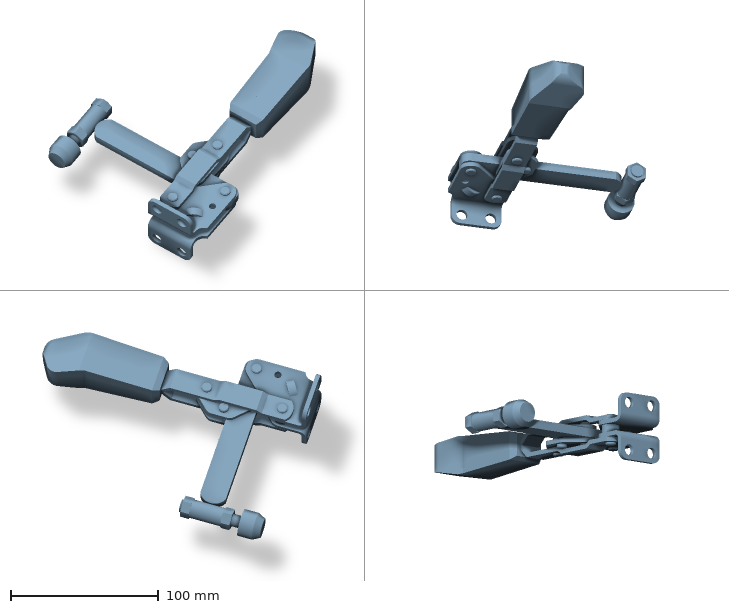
import cadquery as cq
import math


sheet = 3.0
arm_half = 3.0
plate_in = arm_half
plate_out = plate_in + sheet
pin_r = 3.5
pin_chamfer = 0.5
pin_head = 1.5

lever_pivot = (0, 19.0)
arm_pivot = (25.1, 45)
link_arm_pivot = (0, arm_pivot[1])
link_lever_pivot = (0, 72.5)
eye_r = 7.5

base_left = -7.5
base_right = arm_pivot[0] + eye_r
flange_right = 27.5
base_height = 46.0
flange_reach = base_height / 2
flange_corner_r = 6.0
bend_in_r = 2.6
bend_out_r = bend_in_r + sheet
mount_hole_d = 7.5
mount_hole_x = (0, 20.2)
mount_hole_z = 16.3
lock_hole_d = 4.9
lock_hole_y = 30
notch_r = 7.5
spacer_r = 6.0
bump_centre = (18.2, 18.2)
bump_length = 11.8
bump_width = 5.6
bump_height = 2.5
bump_angle = 30

arm_width = 18.0
arm_top = arm_pivot[1] + arm_width / 2
arm_bottom = arm_pivot[1] - arm_width / 2
arm_tip_length = 5.8
arm_corner_r = 6.0

spindle_x = -86.5
stud_r = 4.3
sleeve_r = 6.4
foot_r = 9.4
foot_end_r = 6.8
foot_y = 6.0
foot_cone_y = 11.0
foot_top_y = 21.2
lower_nut_y = 27.5
sleeve_y = 34.3
upper_nut_y = 56.5
upper_nut_top_y = 62.6
stud_top_y = 64.1
nut_corner_r = sleeve_r / math.cos(math.radians(30))
nut_chamfer = 0.8

link_left = -16.3
stop_pin_x = -10.1
stop_pin_r = 3.4
link_corner_r = 5.6

lever_width = 15.2
lever_end_y = 11.6
lever_end_sag = 3.2
leg_out = plate_out + sheet
joggle = 2.5
joggle_start_y = 31.3
joggle_end_y = 64.9
joggle_run = 3.8
leg_closing_y = 96.4

grip_y = 102.8
grip_top_y = 187.5
grip_bevel_y = 107.2
grip_end_half_x = 10.9
grip_bevel_half_x = 13.3
grip_end_half_z = 7.5
grip_bevel_half_z = 9.8
grip_ridge_y = 158.5
grip_ridge_half_z = 13.1
grip_crown_y = 181.7
grip_crown_half_z = 8.6
grip_tip_half_z = 3.4
grip_crown_mid = (185.8, 6.2)
seam_left_y = 150
seam_right_y = 111.0
grip_clear = 37.5

same_point = 1.88e-06


def rounded_outline(corners):
    """Closed outline through (x, y, radius) corners; radius 0 leaves a corner sharp."""
    path = last = None
    for i, (x, y, r) in enumerate(corners):
        if r == 0:
            start = end = middle = (x, y)
        else:
            rays = []
            for nx, ny, _ in (corners[i - 1], corners[(i + 1) % len(corners)]):
                length = math.hypot(nx - x, ny - y)
                rays.append(((nx - x) / length, (ny - y) / length))
            (ax, ay), (bx, by) = rays
            half = math.acos(ax * bx + ay * by) / 2
            back = r / math.tan(half)
            start = (x + ax * back, y + ay * back)
            end = (x + bx * back, y + by * back)
            bisector = math.hypot(ax + bx, ay + by)
            gap = (r / math.sin(half) - r) / bisector
            middle = (x + (ax + bx) * gap, y + (ay + by) * gap)
        if path is None:
            path = cq.Workplane("XY").moveTo(*start)
        elif math.dist(start, last) > same_point:
            path = path.lineTo(*start)
        if r > 0:
            path = path.threePointArc(middle, end)
        last = end
    return path.close()


def z_cylinder(centre, radius, half_height):
    lower_end = cq.Workplane("XY").workplane(offset=-half_height).center(*centre)
    return lower_end.circle(radius).extrude(2 * half_height)


def pin(centre, radius, end):
    return z_cylinder(centre, radius, end).faces("|Z").chamfer(pin_chamfer)


def with_mirror(half):
    return half.union(half.mirror("XY"))


def make_base_plate():
    diagonal = arm_pivot[1] - arm_pivot[0] + eye_r * math.sqrt(2)
    top = arm_pivot[1] + eye_r
    web = rounded_outline([
        (base_left, bend_out_r, 0),
        (base_right, bend_out_r, 0),
        (base_right, top, eye_r),
        (top - diagonal, top, eye_r),
        (base_left, base_left + diagonal, eye_r),
    ]).extrude(sheet).translate((0, 0, plate_in))
    notch = z_cylinder((flange_right + notch_r, bend_out_r), notch_r, plate_out)
    lock_hole = z_cylinder((arm_pivot[0], lock_hole_y), lock_hole_d / 2, plate_out)
    return web.cut(notch).cut(lock_hole).union(make_flange()).union(make_bump())


def make_flange():
    length = flange_right - base_left
    bend_z = plate_in + bend_out_r
    arc = math.sqrt(0.5)
    section = (
        cq.Workplane("YZ")
        .moveTo(bend_out_r, plate_in)
        .threePointArc((bend_out_r * (1 - arc), bend_z - bend_out_r * arc), (0, bend_z))
        .lineTo(0, flange_reach)
        .lineTo(sheet, flange_reach)
        .lineTo(sheet, bend_z)
        .threePointArc((bend_out_r - bend_in_r * arc, bend_z - bend_in_r * arc), (bend_out_r, plate_out))
        .close()
    )
    flange = section.extrude(length).translate((base_left, 0, 0))
    flange = flange.edges("|Y and >Z").fillet(flange_corner_r)
    for x in mount_hole_x:
        hole = cq.Workplane("XZ").center(x, mount_hole_z).circle(mount_hole_d / 2).extrude(-sheet)
        flange = flange.cut(hole)
    return flange


def make_bump():
    half = bump_length / 2
    arch = (
        cq.Workplane("XZ")
        .moveTo(-half, 0)
        .threePointArc((0, bump_height), (half, 0))
        .close()
        .extrude(bump_width / 2, both=True)
    )
    arch = arch.rotate((0, 0, 0), (0, 0, 1), bump_angle)
    return arch.translate((*bump_centre, plate_out))


def make_base():
    base = with_mirror(make_base_plate())
    base = base.union(z_cylinder(lever_pivot, spacer_r, plate_in))
    base = base.union(pin(lever_pivot, pin_r, leg_out + pin_head))
    return base.union(pin(arm_pivot, pin_r, plate_out + pin_head))


def make_arm():
    tip_x = spindle_x + sleeve_r
    arm = (
        cq.Workplane("XY")
        .moveTo(tip_x + arm_tip_length, arm_bottom)
        .lineTo(base_right, arm_bottom)
        .lineTo(base_right, arm_top)
        .lineTo(tip_x + arm_tip_length, arm_top)
        .threePointArc((tip_x, arm_pivot[1]), (tip_x + arm_tip_length, arm_bottom))
        .close()
        .extrude(arm_half, both=True)
    )
    arm = arm.edges("|Z and >X").fillet(arm_corner_r)
    for pivot in (arm_pivot, link_arm_pivot):
        arm = arm.cut(z_cylinder(pivot, pin_r, arm_half))
    return arm


def make_links():
    right = eye_r
    top = link_lever_pivot[1] + eye_r
    bottom = link_arm_pivot[1] - eye_r
    bevel = eye_r * math.sqrt(2)
    upper = link_lever_pivot[1] + bevel
    lower = link_arm_pivot[1] - bevel
    plate = rounded_outline([
        (link_left, upper + link_left, link_corner_r),
        (top - upper, top, eye_r),
        (right, top, eye_r),
        (right, bottom, eye_r),
        (lower - bottom, bottom, eye_r),
        (link_left, lower - link_left, link_corner_r),
    ]).extrude(sheet).translate((0, 0, plate_in))
    links = with_mirror(plate)
    inner_leg = plate_out + joggle
    links = links.union(pin(link_lever_pivot, pin_r, leg_out + pin_head))
    links = links.union(pin(link_arm_pivot, pin_r, inner_leg))
    return links.union(pin((stop_pin_x, arm_top + stop_pin_r), stop_pin_r, inner_leg))


def make_lever():
    joggle_shift = sheet * math.tan(math.atan2(joggle, joggle_run) / 2)
    closing_shift = sheet * math.tan(math.radians(45) / 2)
    inner_closing_y = leg_closing_y - closing_shift
    leg = (
        cq.Workplane("YZ")
        .polyline([
            (lever_end_y, plate_out),
            (lever_end_y, leg_out),
            (joggle_start_y, leg_out),
            (joggle_start_y + joggle_run, leg_out + joggle),
            (joggle_end_y - joggle_run, leg_out + joggle),
            (joggle_end_y, leg_out),
            (leg_closing_y, leg_out),
            (grip_y, leg_out - (grip_y - leg_closing_y)),
            (grip_y, 0),
            (inner_closing_y + plate_out, 0),
            (inner_closing_y, plate_out),
            (joggle_end_y - joggle_shift, plate_out),
            (joggle_end_y - joggle_run - joggle_shift, plate_out + joggle),
            (joggle_start_y + joggle_run + joggle_shift, plate_out + joggle),
            (joggle_start_y + joggle_shift, plate_out),
        ])
        .close()
        .extrude(lever_width / 2, both=True)
    )
    half = lever_width / 2
    face = (
        cq.Workplane("XY")
        .moveTo(-half, lever_end_y + lever_end_sag)
        .threePointArc((0, lever_end_y), (half, lever_end_y + lever_end_sag))
        .lineTo(half, grip_y)
        .lineTo(-half, grip_y)
        .close()
        .extrude(leg_out + joggle, both=True)
    )
    lever = with_mirror(leg).intersect(face)
    for pivot in (lever_pivot, link_lever_pivot):
        lever = lever.cut(z_cylinder(pivot, pin_r, leg_out))
    return lever


def make_grip():
    outline = rounded_outline([
        (-grip_end_half_x, grip_y, 0),
        (grip_end_half_x, grip_y, 0),
        (grip_bevel_half_x, grip_bevel_y, 0),
        (14.8, 161.6, 11.2),
        (0.5, 190.9, 7.3),
        (-21.0, 178.0, 7.5),
        (-14.0, 154.5, 0),
        (-grip_bevel_half_x, grip_bevel_y, 0),
    ]).extrude(grip_ridge_half_z, both=True)
    side = (
        cq.Workplane("YZ")
        .moveTo(grip_y, 0)
        .lineTo(grip_y, grip_end_half_z)
        .lineTo(grip_bevel_y, grip_bevel_half_z)
        .lineTo(grip_ridge_y, grip_ridge_half_z)
        .lineTo(grip_crown_y, grip_crown_half_z)
        .threePointArc(grip_crown_mid, (grip_top_y, grip_tip_half_z))
        .lineTo(grip_top_y, 0)
        .close()
        .extrude(grip_clear, both=True)
    )
    return outline.intersect(with_mirror(side))


def make_seam_cutter():
    return rounded_outline([
        (-grip_clear, seam_left_y, 0),
        (-10.5, seam_left_y, 1.9),
        (-1.7, 172.9, 3.2),
        (7.0, 156.2, 2.8),
        (-1.3, 120.8, 1.0),
        (4.7, seam_right_y, 1.9),
        (grip_clear, seam_right_y, 0),
        (grip_clear, grip_y, 0),
        (-grip_clear, grip_y, 0),
    ]).extrude(grip_clear, both=True)


def make_nut(start_y, end_y):
    nut = cq.Workplane("XZ").polygon(6, 2 * nut_corner_r).extrude(start_y - end_y)
    return nut.rotate((0, 0, 0), (0, 1, 0), 30).translate((spindle_x, start_y, 0))


def make_lower_nut():
    blank = cq.Workplane("XZ").circle(nut_corner_r).extrude(lower_nut_y - sleeve_y)
    blank = blank.faces("|Y").chamfer(nut_chamfer).translate((spindle_x, lower_nut_y, 0))
    return make_nut(lower_nut_y, sleeve_y).intersect(blank)


def make_spindle():
    profile = [
        (0, foot_y),
        (foot_end_r, foot_y),
        (foot_r, foot_cone_y),
        (foot_r, foot_top_y),
        (stud_r, foot_top_y),
        (stud_r, sleeve_y),
        (sleeve_r, sleeve_y),
        (sleeve_r, upper_nut_y),
        (stud_r, upper_nut_y),
        (stud_r, stud_top_y),
        (0, stud_top_y),
    ]
    turned = cq.Workplane("XY").polyline(profile).close().revolve(360, (0, 0, 0), (0, 1, 0))
    turned = turned.translate((spindle_x, 0, 0))
    return turned.union(make_lower_nut()).union(make_nut(upper_nut_y, upper_nut_top_y))


grip = make_grip()
seam_cutter = make_seam_cutter()
base = make_base()
arm = make_arm()
links = make_links()
lever = make_lever()
grip_shell = grip.intersect(seam_cutter)
grip_inlay = grip.cut(seam_cutter)
spindle = make_spindle()

bodies = [base, arm, links, lever, grip_shell, grip_inlay, spindle]
result = cq.Compound.makeCompound([body.solids().val() for body in bodies])